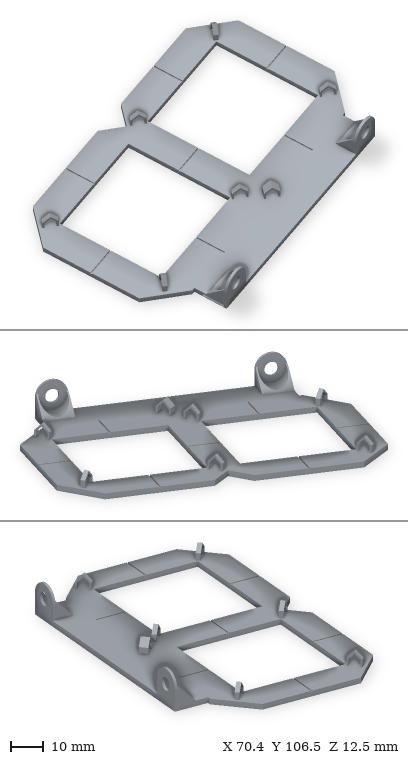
import cadquery as cq
import math

height = 106.5
width = 70.4
thickness = 1.9

window = 37.4
bar = (height - 2 * window) / 3
eight_width = window + 2 * bar
window_offset = (window + bar) / 2
centre_x = eight_width / 2

corner_cut = 11.6
notch_depth = 6.4
panel_height = 80.9

groove_width = 0.5
groove_depth = 0.4

clip_span = 5.1
clip_leg = 2.5
clip_height = 4.9
clip_wall = 0.6
clip_width = 1.6
wide_clip_width = 3.0
clip_setback = 2.1
wide_clip_x = 57.6
wide_clip_y = 2.9

lug_top = 12.5
lug_width = 10.4
lug_radius = lug_width / 2
lug_depth = 7.6
flange = 1.0
screw_hole = 4.5
screw_head = 9.4
screw_head_length = 8.0
lug_axis_z = lug_top - lug_radius
lug_offset = (panel_height - lug_width) / 2

edge_groove_radius = 0.6


def make_plate():
    """Figure-eight frame joined to a side panel."""
    half = height / 2
    panel_half = panel_height / 2
    upper = [
        (0, notch_depth),
        (0, half - corner_cut),
        (corner_cut, half),
        (eight_width - corner_cut, half),
        (eight_width, half - corner_cut),
        (eight_width, panel_half),
        (width, panel_half),
    ]
    lower = [(x, -y) for x, y in reversed(upper)]
    outline = upper + lower + [(notch_depth, 0)]
    windows = (
        cq.Workplane("XY")
        .pushPoints([(centre_x, window_offset), (centre_x, -window_offset)])
        .rect(window, window)
        .extrude(thickness)
    )
    return cq.Workplane("XY").polyline(outline).close().extrude(thickness).cut(windows)


def make_grooves():
    """Shallow grooves across the middle of every bar."""
    across_y = [(centre_x, side * 2 * window_offset) for side in (-1, 0, 1)]
    across_x = [
        (centre_x + side * window_offset, row * window_offset) for side in (-1, 1) for row in (-1, 1)
    ]
    floor = cq.Workplane("XY").workplane(offset=thickness - groove_depth)
    vertical = floor.pushPoints(across_y).rect(groove_width, bar).extrude(groove_depth)
    horizontal = floor.pushPoints(across_x).rect(bar, groove_width).extrude(groove_depth)
    return vertical.union(horizontal)


def make_clip(x, y, angle, clip_size):
    """House-shaped arch standing on the plate, its legs spaced along the given angle."""
    half = clip_span / 2
    slope = math.atan2(clip_height - clip_leg, half)
    inner_half = half - clip_wall
    inner_leg = clip_leg - clip_wall * math.tan(slope / 2)
    inner_height = clip_height - clip_wall / math.cos(slope)
    outline = [
        (-half, 0),
        (-half, clip_leg),
        (0, clip_height),
        (half, clip_leg),
        (half, 0),
        (inner_half, 0),
        (inner_half, inner_leg),
        (0, inner_height),
        (-inner_half, inner_leg),
        (-inner_half, 0),
    ]
    arch = cq.Workplane("XZ").polyline(outline).close().extrude(clip_size / 2, both=True)
    return arch.rotate((0, 0, 0), (0, 0, 1), angle).translate((x, y, thickness))


def make_corner_clip(row, side_x, side_y):
    """Clip just outside one window corner, pointing away from the window centre."""
    reach = window / 2 + clip_setback
    angle = 45 * side_x * side_y
    return make_clip(centre_x + side_x * reach, row * window_offset + side_y * reach, angle, clip_width)


def make_lug(y):
    """Round-topped screw lug with a 45 degree support, recessed for the screw head."""
    arch = (
        cq.Workplane("YZ", origin=(width - lug_depth, y, 0))
        .moveTo(-lug_radius, 0)
        .lineTo(-lug_radius, lug_axis_z)
        .threePointArc((0, lug_top), (lug_radius, lug_axis_z))
        .lineTo(lug_radius, 0)
        .close()
        .extrude(lug_depth)
    )
    side = (
        cq.Workplane("XZ", origin=(0, y, 0))
        .moveTo(width - lug_depth, 0)
        .lineTo(width - lug_depth, thickness)
        .lineTo(width - flange, thickness + lug_depth - flange)
        .lineTo(width - flange, lug_top)
        .lineTo(width, lug_top)
        .lineTo(width, 0)
        .close()
        .extrude(lug_radius, both=True)
    )
    axis_plane = cq.Workplane("YZ", origin=(width - flange, y, lug_axis_z))
    head = axis_plane.circle(screw_head / 2).extrude(-screw_head_length)
    hole = axis_plane.circle(screw_hole / 2).extrude(flange)
    return arch.intersect(side).cut(head).cut(hole)


def make_edge_groove():
    """Half-round groove along X in the -Y end of the side panel."""
    start = (width - flange, -panel_height / 2, thickness / 2)
    return cq.Workplane("YZ", origin=start).circle(edge_groove_radius).extrude(-screw_head_length)


result = make_plate().cut(make_grooves())

clip_corners = [(1, -1, 1), (1, 1, 1), (1, -1, -1), (-1, 1, 1), (-1, -1, -1), (-1, 1, -1)]
for row, side_x, side_y in clip_corners:
    result = result.union(make_corner_clip(row, side_x, side_y))
result = result.union(make_clip(wide_clip_x, wide_clip_y, 45, wide_clip_width))

for lug_y in (-lug_offset, lug_offset):
    result = result.union(make_lug(lug_y))

result = result.cut(make_edge_groove())